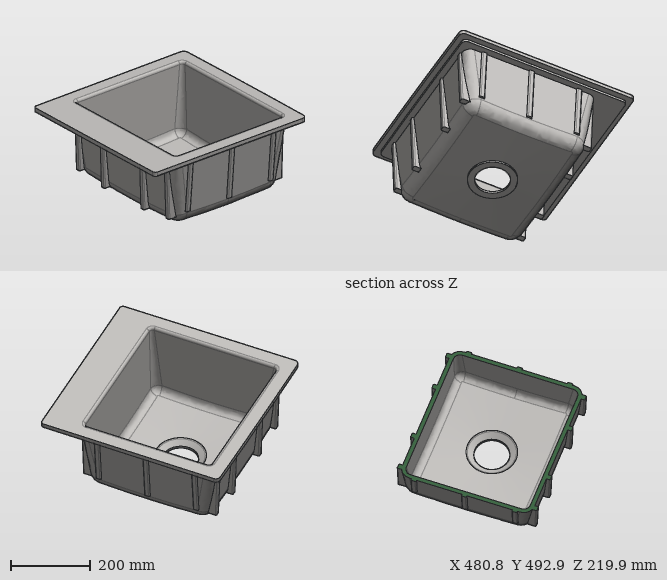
import cadquery as cq


rim_width = 480.88
rim_front_width = 477.6
rim_length = 492.93
rim_back_y = 217.0
rim_front_y = rim_back_y - rim_length
rim_back_bow = 1.2
rim_thickness = 11.7
rim_back_radius = 13.0
rim_front_radius = 9.0

step_inset = 14.6
step_depth = 19.4

wall = 12.0
cavity_top_half_x = 198.0
cavity_top_half_y = 175.3
cavity_foot_half_x = 183.0
cavity_foot_half_y = 158.5
wall_foot_z = -175.0
wall_overrun = 1.4
cavity_top_radius = 9.0
cavity_foot_radius = 21.5
cavity_floor_fillet = 20.0
bowl_corner_extra = 13.0
bowl_floor_fillet = 32.0
rim_lip_radius = 8.0

total_height = 219.91
floor_slope = 0.075
drain_boss_radius = 63.0
drain_boss_height = 5.5
drain_hole_diameter = 90.0
funnel_radius = 61.5
funnel_edge_radius = 64.6
funnel_edge_depth = 1.5
drain_throat_height = 6.5
floor_apex_z = -total_height + drain_boss_height - floor_slope * drain_boss_radius

rib_width = 14.5
rib_edge_fillet = 3.0
rib_root_depth = 35.0
end_rib_top_y = 189.5
end_rib_foot_y = 184.0
inner_rib_x = 77.5
outer_rib_x = 175.5
inner_rib_foot_z = -193.5
outer_rib_foot_z = -182.5
side_rib_top_x = 212.8
side_rib_foot_x = 200.0
side_rib_y = 134.5
side_rib_outer_foot_z = -168.0
side_rib_middle_foot_z = -173.5


def rim_slab(inset, depth):
    """Plate with the rim outline, shrunk by inset and reaching from Z = 0 down to depth."""
    back_half = rim_width / 2 - inset
    front_half = rim_front_width / 2 - inset
    back_y = rim_back_y - inset
    front_y = rim_front_y + inset
    corner_y = back_y - rim_back_bow
    slab = (
        cq.Workplane("XY")
        .moveTo(front_half, front_y)
        .lineTo(back_half, corner_y)
        .threePointArc((0, back_y), (-back_half, corner_y))
        .lineTo(-front_half, front_y)
        .close()
        .extrude(-depth)
    )
    slab = slab.edges("|Z").edges(">Y").fillet(rim_back_radius)
    return slab.edges("|Z").edges("<Y").fillet(rim_front_radius)


def rounded_rectangle(half_x, half_y, radius, z):
    """Closed wire of a rounded rectangle centred on the drain axis at height z."""
    block = (
        cq.Workplane("XY")
        .workplane(offset=z)
        .rect(2 * half_x, 2 * half_y)
        .extrude(radius)
        .edges("|Z")
        .fillet(radius)
    )
    return block.faces("<Z").wires().val()


def conical_floor_block(apex_z):
    """Block above the floor cone whose lowest point is at apex_z on the drain axis."""
    reach = 2 * cavity_top_half_x
    return (
        cq.Workplane("XZ")
        .moveTo(0, 0)
        .lineTo(0, apex_z)
        .lineTo(reach, apex_z + floor_slope * reach)
        .lineTo(reach, 0)
        .close()
        .revolve(360, (0, 0, 0), (0, 1, 0))
    )


def bowl_volume(offset, corner_extra, floor_z, floor_fillet):
    """Tapered tub: the cavity grown by offset, closed by the conical floor."""

    def extended(top, foot):
        return top + (foot - top) * wall_overrun

    top = rounded_rectangle(
        cavity_top_half_x + offset,
        cavity_top_half_y + offset,
        cavity_top_radius + corner_extra,
        0,
    )
    foot = rounded_rectangle(
        extended(cavity_top_half_x, cavity_foot_half_x) + offset,
        extended(cavity_top_half_y, cavity_foot_half_y) + offset,
        extended(cavity_top_radius, cavity_foot_radius) + corner_extra,
        wall_foot_z * wall_overrun,
    )
    tub = cq.Workplane(cq.Solid.makeLoft([top, foot], True))
    tub = tub.intersect(conical_floor_block(floor_z))
    return tub.faces("<Z").edges().fillet(floor_fillet)


def rib_slope_gain(top_reach, foot_reach, foot_z):
    """Extra reach at Z = 0 for a rib whose top_reach is given at the underside of the step."""
    return (top_reach - foot_reach) * step_depth / (-foot_z - step_depth)


def rib(top_reach, foot_reach, foot_z, along, angle):
    """Rib on the wall facing the direction angle, shifted sideways by along."""
    blank = (
        cq.Workplane("XZ")
        .moveTo(foot_reach - rib_root_depth, 0)
        .lineTo(top_reach + rib_slope_gain(top_reach, foot_reach, foot_z), 0)
        .lineTo(foot_reach, foot_z)
        .lineTo(foot_reach - rib_root_depth, foot_z)
        .close()
        .extrude(rib_width / 2, both=True)
    )
    blank = blank.faces(">X").edges("not |Y").fillet(rib_edge_fillet)
    return blank.translate((0, along, 0)).rotate((0, 0, 0), (0, 0, 1), angle)


def add_ribs(body):
    """Fuse four ribs to the front and back walls and three to each side wall."""
    end_ribs = [(inner_rib_x, inner_rib_foot_z), (outer_rib_x, outer_rib_foot_z)]
    for angle in (90, 270):
        for x, foot_z in end_ribs:
            for along in (-x, x):
                body = body.union(rib(end_rib_top_y, end_rib_foot_y, foot_z, along, angle))
    side_ribs = [
        (-side_rib_y, side_rib_outer_foot_z),
        (0, side_rib_middle_foot_z),
        (side_rib_y, side_rib_outer_foot_z),
    ]
    for angle in (0, 180):
        for along, foot_z in side_ribs:
            body = body.union(rib(side_rib_top_x, side_rib_foot_x, foot_z, along, angle))
    return body


def round_bowl_lip(body):
    """Round the edge where the rim top turns down into the bowl."""
    margin = 1.0
    half_x = cavity_top_half_x + margin
    half_y = cavity_top_half_y + margin
    lip_zone = cq.selectors.BoxSelector((-half_x, -half_y, -margin), (half_x, half_y, margin))
    return body.edges(lip_zone).fillet(rim_lip_radius)


def drain_cut():
    """Funnel with an eased upper edge that narrows to the drain hole."""
    edge_z = floor_apex_z + wall + floor_slope * funnel_edge_radius
    return (
        cq.Workplane("XZ")
        .moveTo(0, -total_height)
        .lineTo(drain_hole_diameter / 2, -total_height)
        .lineTo(drain_hole_diameter / 2, -total_height + drain_throat_height)
        .lineTo(funnel_radius, edge_z - funnel_edge_depth)
        .lineTo(funnel_edge_radius, edge_z)
        .lineTo(0, edge_z)
        .close()
        .revolve(360, (0, 0, 0), (0, 1, 0))
    )


bowl = bowl_volume(wall, bowl_corner_extra, floor_apex_z, bowl_floor_fillet)
boss = (
    cq.Workplane("XY")
    .workplane(offset=-total_height)
    .circle(drain_boss_radius)
    .extrude(wall)
)
cavity = bowl_volume(0, 0, floor_apex_z + wall, cavity_floor_fillet)

sink = rim_slab(0, rim_thickness).union(rim_slab(step_inset, step_depth))
sink = add_ribs(sink.union(bowl).union(boss))
sink = sink.cut(cavity)
sink = round_bowl_lip(sink)
result = sink.cut(drain_cut())